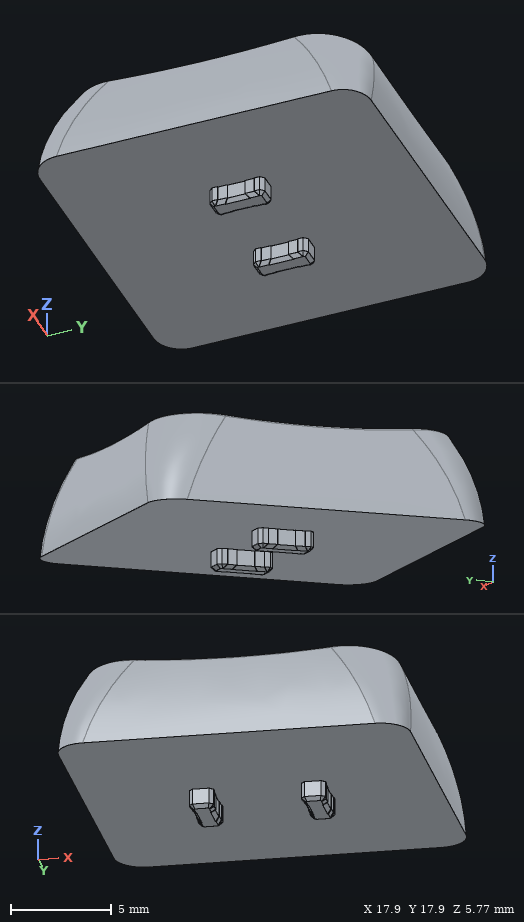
import cadquery as cq
import math

cap_width = 17.9
cap_height = 4.8
side_radius = 11.37
bottom_corner_radius = 1.52
top_corner_radius = 3.05
section_count = 6
dish_allowance = 0.54
blank_height = cap_height + dish_allowance

dish_radius = 50.12
dish_floor = 3.83
rim_fillet = 0.2

leg_spacing = 5.7
leg_thickness = 1.24
leg_length = 2.97
leg_height = 0.98
leg_chamfer = 0.2
leg_overlap = 0.35

hollow_widths = (1.97, 0.95)
hollow_step = 0.04


def body_section(height):
    """Rounded square outline of the cap at the given height."""
    inset = side_radius - math.sqrt(side_radius**2 - height**2)
    width = cap_width - 2 * inset
    blend = height / cap_height
    corner = bottom_corner_radius + blend * (top_corner_radius - bottom_corner_radius)
    outline = cq.Sketch().rect(width, width).vertices().fillet(corner)
    return outline.moved(cq.Location(cq.Vector(0, 0, height)))


def make_cap():
    """Solid cap with the dish cut into its top and the rim rounded."""
    heights = [blank_height * i / (section_count - 1) for i in range(section_count)]
    blank = cq.Workplane("XY").placeSketch(*[body_section(h) for h in heights]).loft()
    dish = cq.Workplane("XZ").sphere(dish_radius).translate((0, 0, dish_floor + dish_radius))
    cap = blank.cut(dish)
    rim = cap.faces(cq.selectors.NearestToPointSelector((0, 0, dish_floor))).edges()
    return rim.fillet(rim_fillet)


def make_leg(center_x):
    """Chamfered block with the stepped hollow cut into its two broad faces."""
    full_height = leg_height + leg_overlap
    leg = cq.Workplane("XY").box(leg_thickness, leg_length, full_height, centered=(True, True, False))
    leg = leg.edges("|Z").chamfer(leg_chamfer)
    for step, width in enumerate(hollow_widths, start=1):
        waist = leg_thickness - 2 * step * hollow_step
        for side in (-1, 1):
            cutter = cq.Workplane("XY").box(leg_thickness, width, 2 * full_height)
            leg = leg.cut(cutter.translate((side * (waist + leg_thickness) / 2, 0, full_height / 2)))
    leg = leg.faces("<Z").chamfer(leg_chamfer)
    return leg.translate((center_x, 0, -leg_height))


result = make_cap()
for side in (-1, 1):
    result = result.union(make_leg(side * leg_spacing / 2))